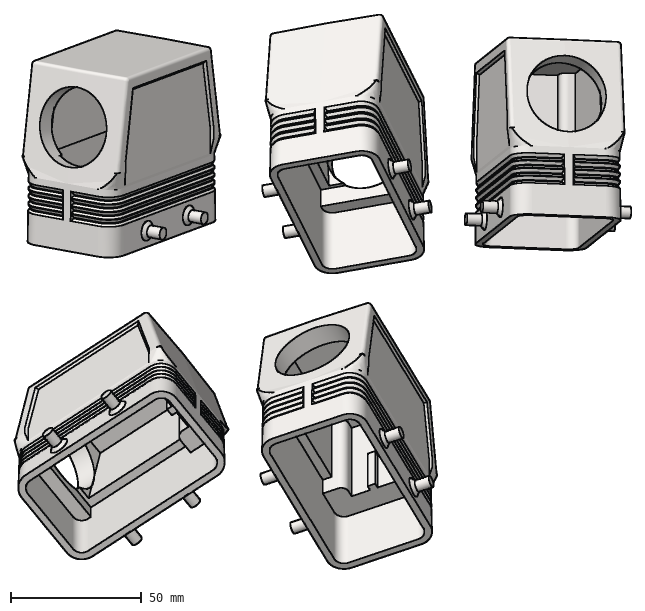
import cadquery as cq
import math

LENGTH = 73.0
BASE_WIDTH = 43.35
PIN_SPAN = 58.0
HEIGHT = 70.0

SKIRT_TOP = 26.65
SKIRT_DRAFT = 0.3
SKIRT_CORNER = 7.1

BLOCK_WIDTH = 45.0
BLOCK_TOP_LENGTH = 57.2
BLOCK_SHOULDER = 33.7
EDGE_RADIUS = 1.45
END_RECESS = 0.45
END_LEAN = 0.7

GROOVE_COUNT = 4
GROOVE_PITCH = 3.0
GROOVE_START = 12.1
GROOVE_DEPTH = 0.9
GROOVE_LOWER_SLOPE = 0.95
GROOVE_FLOOR = 0.4
GROOVE_UPPER_SLOPE = 1.4
END_STRIP_WIDTH = 3.1

PANEL_DEPTH = 0.95
PANEL_TOP = 65.3
PANEL_TOP_HALF = 24.4
PANEL_LOW_HALF = 29.4
PANEL_KNEE = 36.85

PIN_HEIGHT = 6.35
PIN_PITCH = 27.6
PIN_RADIUS = 2.3
PIN_COLLAR_RADIUS = 3.9
PIN_COLLAR_LENGTH = 1.45

ENTRY_RADIUS = 15.5
ENTRY_HEIGHT = 48.1
ENTRY_DEPTH = 8.25

MOUTH_WALL = 2.9
LOWER_FRONT = -28.1
LOWER_TOP = 34.45
CHAMBER_WIDTH = 30.1
CHAMBER_BACK = 19.0
CAVITY_TOP = 65.7
POCKET_WIDTH = 18.7
POCKET_BACK = 24.8
POCKET_ROUNDING = 3.1
RIB_WIDTH = 3.2
RIB_TOP = 45.25
RIB_DEPTH = 2.2

skirt_top_width = BASE_WIDTH - 2 * SKIRT_DRAFT
skirt_top_length = LENGTH - 2 * SKIRT_DRAFT
end_slope = (skirt_top_length - BLOCK_TOP_LENGTH) / 2 / (HEIGHT - SKIRT_TOP)
end_angle = math.degrees(math.atan(end_slope))


def block_length(z):
    """Length of the upper block at height z."""
    return skirt_top_length - 2 * end_slope * (z - SKIRT_TOP)


def rounded_loft(lower, upper):
    """Solid between two rounded rectangles, each (z, width, length, corner radius)."""
    wires = []
    for z, width, length, radius in (lower, upper):
        sketch = cq.Workplane("XY").workplane(offset=z).rect(width, length).extrude(0.7)
        face = sketch.edges("|Z").fillet(radius).faces("<Z").val()
        wires.append(face.outerWire())
    return cq.Workplane(cq.Solid.makeLoft(wires, True))


def skirt_section(z, inset=0.0):
    """Outline of the skirt at height z, moved inward by inset."""
    shrink = 2 * (SKIRT_DRAFT * z / SKIRT_TOP + inset)
    return z, BASE_WIDTH - shrink, LENGTH - shrink, SKIRT_CORNER - inset


def vee_section(z):
    """Block outline at height z: a rectangle whose ends come to a faint point at mid width."""
    half_width = BLOCK_WIDTH / 2
    tip = block_length(z) / 2
    corner = tip - END_RECESS
    points = [
        (0, -tip),
        (half_width, -corner),
        (half_width, corner),
        (0, tip),
        (-half_width, corner),
        (-half_width, -corner),
    ]
    return cq.Workplane("XY").workplane(offset=z).polyline(points).close().val()


def vee_loft(low, high):
    """Part of the sloping block between two heights."""
    return cq.Workplane(cq.Solid.makeLoft([vee_section(low), vee_section(high)], True))


def make_block():
    """Upper block with sloping ends, above a transition down to the rounded skirt."""
    block = vee_loft(BLOCK_SHOULDER, HEIGHT)
    side_edges = block.faces("<X or >X").edges("not <Z")
    block = side_edges.add(block.faces(">Z").edges("not |Y")).fillet(EDGE_RADIUS)

    skirt_top = (SKIRT_TOP, skirt_top_width, skirt_top_length, SKIRT_CORNER)
    shoulder_length = block_length(BLOCK_SHOULDER)
    full = rounded_loft(skirt_top, (BLOCK_SHOULDER, BLOCK_WIDTH, shoulder_length, EDGE_RADIUS))
    leaning_end = shoulder_length / 2 - END_LEAN
    profile = [
        (-skirt_top_length / 2, SKIRT_TOP),
        (skirt_top_length / 2, SKIRT_TOP),
        (leaning_end, BLOCK_SHOULDER),
        (-leaning_end, BLOCK_SHOULDER),
    ]
    leaning = cq.Workplane("YZ").polyline(profile).close().extrude(BLOCK_WIDTH / 2, both=True)
    transition = full.intersect(vee_loft(SKIRT_TOP, BLOCK_SHOULDER).union(leaning))
    return block.union(transition)


def make_groove(z):
    """Ring of material outside a V groove with a flat floor, starting at height z."""
    floor_start = z + GROOVE_LOWER_SLOPE
    floor_end = floor_start + GROOVE_FLOOR
    top = floor_end + GROOVE_UPPER_SLOPE
    core = rounded_loft(skirt_section(z), skirt_section(floor_start, GROOVE_DEPTH))
    core = core.union(
        rounded_loft(skirt_section(floor_start, GROOVE_DEPTH), skirt_section(floor_end, GROOVE_DEPTH))
    )
    core = core.union(rounded_loft(skirt_section(floor_end, GROOVE_DEPTH), skirt_section(top)))
    slab = cq.Workplane("XY").workplane(offset=z).rect(2 * LENGTH, 2 * LENGTH).extrude(top - z)
    return slab.cut(core)


def make_end_strips():
    """Strips that stop the grooves at both ends, widening inward at 45 degrees."""
    outer = LENGTH / 2
    inner = outer - SKIRT_DRAFT - GROOVE_DEPTH
    half = END_STRIP_WIDTH / 2
    inner_half = half + outer - inner
    outline = [(-inner_half, inner), (inner_half, inner), (half, outer), (-half, outer)]
    strip = cq.Workplane("XY").polyline(outline).close().extrude(SKIRT_TOP)
    strips = strip.union(strip.mirror("XZ"))
    skirt = rounded_loft(skirt_section(0), skirt_section(SKIRT_TOP))
    return strips.intersect(skirt)


def make_skirt():
    """Drafted skirt with its grip grooves."""
    skirt = rounded_loft(skirt_section(0), skirt_section(SKIRT_TOP))
    for i in range(GROOVE_COUNT):
        skirt = skirt.cut(make_groove(GROOVE_START + i * GROOVE_PITCH))
    return skirt.union(make_end_strips())


def panel_outline(x, inset):
    """Panel outline at the given X, with its edges moved inward by inset."""
    low_half = PANEL_LOW_HALF - inset
    top_half = PANEL_TOP_HALF - inset
    points = [
        (-low_half, SKIRT_TOP),
        (low_half, SKIRT_TOP),
        (low_half, PANEL_KNEE),
        (top_half, PANEL_TOP - inset),
        (-top_half, PANEL_TOP - inset),
        (-low_half, PANEL_KNEE),
    ]
    return cq.Workplane("YZ").workplane(offset=x).polyline(points).close().val()


def make_panels():
    """Cutters for the two side panels with bevelled walls."""
    face = BLOCK_WIDTH / 2
    outlines = [panel_outline(face, 0), panel_outline(face - PANEL_DEPTH, PANEL_DEPTH)]
    panel = cq.Workplane(cq.Solid.makeLoft(outlines, True))
    return panel.union(panel.mirror("YZ"))


def make_pins():
    """Four locking pins, each with a conical collar at the wall."""
    wall = BASE_WIDTH / 2 - SKIRT_DRAFT
    collar_end = BASE_WIDTH / 2 + PIN_COLLAR_LENGTH
    profile = [
        (wall, 0),
        (wall, PIN_COLLAR_RADIUS),
        (BASE_WIDTH / 2, PIN_COLLAR_RADIUS),
        (collar_end, PIN_RADIUS),
        (PIN_SPAN / 2, PIN_RADIUS),
        (PIN_SPAN / 2, 0),
    ]
    pin = cq.Workplane("XY").polyline(profile).close().revolve(360, (0, 0, 0), (1, 0, 0))
    pair = pin.union(pin.mirror("YZ")).translate((0, PIN_PITCH / 2, PIN_HEIGHT))
    return pair.union(pair.mirror("XZ"))


def make_cavity():
    """Hollow inside: mouth, lower and upper chambers, and a pocket with a rib in the far wall."""
    _, width, length, radius = skirt_section(0, MOUTH_WALL)
    mouth = cq.Workplane("XY").rect(width, length).extrude(SKIRT_TOP).edges("|Z").fillet(radius)

    lower_length = CHAMBER_BACK - LOWER_FRONT
    lower = cq.Workplane("XY").box(width, lower_length, LOWER_TOP, centered=(True, False, False))
    lower = lower.translate((0, LOWER_FRONT, 0))

    front_wall = ENTRY_DEPTH / math.cos(math.radians(end_angle))
    profile = [
        (front_wall - block_length(SKIRT_TOP) / 2, SKIRT_TOP),
        (CHAMBER_BACK, SKIRT_TOP),
        (CHAMBER_BACK, CAVITY_TOP),
        (front_wall - block_length(CAVITY_TOP) / 2, CAVITY_TOP),
    ]
    upper = cq.Workplane("YZ").polyline(profile).close().extrude(CHAMBER_WIDTH / 2, both=True)

    side = POCKET_WIDTH / 2
    lip = side + POCKET_ROUNDING
    lip_end = CHAMBER_BACK + POCKET_ROUNDING
    pocket = (
        cq.Workplane("XY")
        .moveTo(-lip, CHAMBER_BACK)
        .radiusArc((-side, lip_end), -POCKET_ROUNDING)
        .lineTo(-side, POCKET_BACK)
        .lineTo(side, POCKET_BACK)
        .lineTo(side, lip_end)
        .radiusArc((lip, CHAMBER_BACK), -POCKET_ROUNDING)
        .close()
        .extrude(CAVITY_TOP)
    )
    rib = cq.Workplane("XY").box(RIB_WIDTH, RIB_DEPTH, RIB_TOP, centered=(True, False, False))
    rib = rib.translate((0, POCKET_BACK - RIB_DEPTH, 0))
    return lower.union(upper).union(pocket.cut(rib)).union(mouth)


def make_entry():
    """Round cable entry, square to the sloping end face."""
    end_y = -block_length(ENTRY_HEIGHT) / 2
    tilt = math.radians(end_angle)
    outward = cq.Vector(0, -math.cos(tilt), math.sin(tilt))
    start = cq.Vector(0, end_y, ENTRY_HEIGHT) - outward * ENTRY_DEPTH
    return cq.Workplane(cq.Solid.makeCylinder(ENTRY_RADIUS, 2 * ENTRY_DEPTH, start, outward))


body = make_skirt().union(make_block()).cut(make_panels())
body = body.union(make_pins())
result = body.cut(make_cavity()).cut(make_entry())